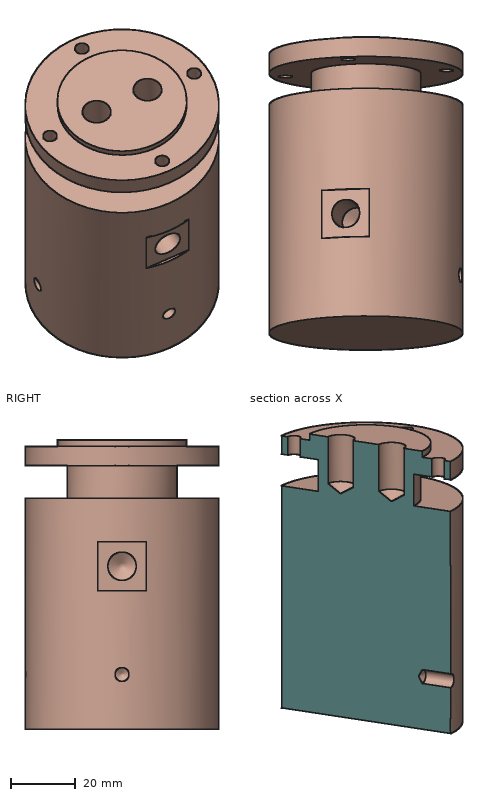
import cadquery as cq
import math

total_height = 89.5
outer_diameter = 60.0
neck_diameter = 34.0
cap_diameter = 40.0
cap_height = 2.0
flange_height = 6.0
neck_height = 10.0
body_height = total_height - cap_height - flange_height - neck_height
flange_top = total_height - cap_height
outer_radius = outer_diameter / 2

port_diameter = 8.8
port_depth = 15.0
cap_port_spacing = 18.0

flat_size = 15.0
flat_depth = 1.0
left_flat_z = 32.5
right_flat_z = 50.5

screw_diameter = 4.3
screw_circle_diameter = 51.0
screw_count = 4
side_hole_z = 17.0
side_hole_depth = 10.0

drill_point_angle = math.radians(118)


def cylinder(diameter, height, base_z):
    return cq.Workplane("XY").workplane(offset=base_z).circle(diameter / 2).extrude(height)


def drill(start, direction, diameter, depth):
    """Blind drilled hole: full diameter to the given depth, then a conical point."""
    radius = diameter / 2
    tip_length = radius / math.tan(drill_point_angle / 2)
    start = cq.Vector(*start)
    direction = cq.Vector(*direction)
    barrel = cq.Solid.makeCylinder(radius, depth, start, direction)
    tip = cq.Solid.makeCone(radius, 0, tip_length, start + direction * depth, direction)
    return barrel.fuse(tip)


def cut_flat_with_port(part, side, center_z):
    """Square flat with a central port; side is -1 for -X and +1 for +X."""
    face_x = side * (outer_radius - flat_depth)
    pocket = cq.Workplane("XY").box(2 * flat_depth, flat_size, flat_size)
    pocket = pocket.translate((side * outer_radius, 0, center_z))
    port = drill((face_x, 0, center_z), (-side, 0, 0), port_diameter, port_depth)
    return part.cut(pocket).cut(port)


result = cylinder(outer_diameter, body_height, 0)
result = result.union(cylinder(neck_diameter, neck_height, body_height))
result = result.union(cylinder(outer_diameter, flange_height, body_height + neck_height))
result = result.union(cylinder(cap_diameter, cap_height, flange_top))

for side in (-1, 1):
    port_start = (0, side * cap_port_spacing / 2, total_height)
    result = result.cut(drill(port_start, (0, 0, -1), port_diameter, port_depth))

screw_holes = (
    cq.Workplane("XY")
    .workplane(offset=flange_top)
    .polarArray(screw_circle_diameter / 2, 0, 360, screw_count)
    .circle(screw_diameter / 2)
    .extrude(-flange_height)
)
result = result.cut(screw_holes)

result = cut_flat_with_port(result, -1, left_flat_z)
result = cut_flat_with_port(result, 1, right_flat_z)

for x, y in ((0, -1), (1, 0)):
    hole_start = (x * outer_radius, y * outer_radius, side_hole_z)
    result = result.cut(drill(hole_start, (-x, -y, 0), screw_diameter, side_hole_depth))